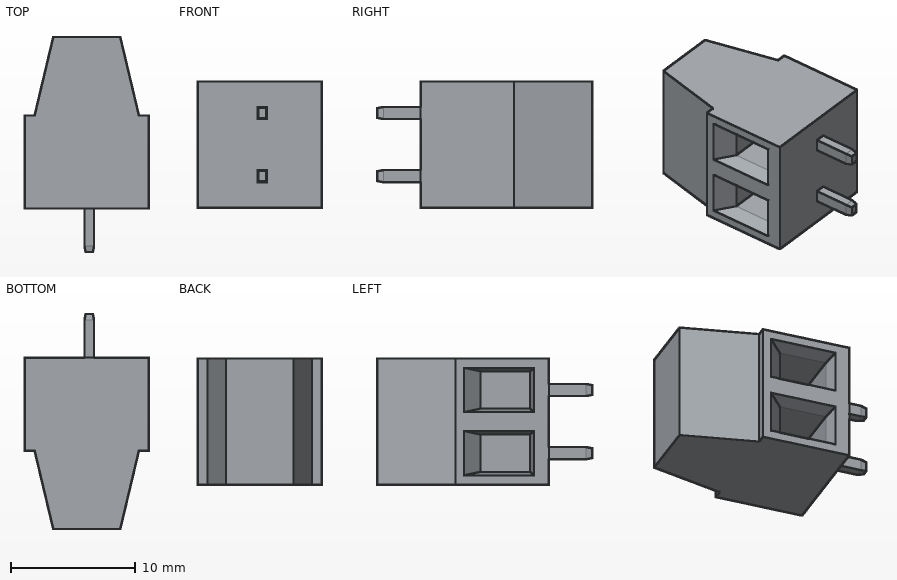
import cadquery as cq

pitch = 5.08
pole_count = 2
body_width = 10.0
body_height = pole_count * pitch
block_depth = 7.5
nose_depth = 6.3
nose_base_width = 8.4
nose_tip_width = 5.4

pin_offset = 0.2
pin_width = 0.8
pin_height = 1.0
pin_length = 3.5
tip_length = 0.5
tip_inset = 0.1

entry_depth = 5.0
entry_front_wall = 1.2
mouth_depth = 1.3
mouth_length = 5.6
mouth_height = 3.56
front_inset = 0.3
back_inset = 1.3
height_inset = 0.28

pole_heights = [(i - (pole_count - 1) / 2) * pitch for i in range(pole_count)]


def make_housing():
    """Block with a tapered nose, centred in X and Z, with its -Y face at Y = 0."""
    half_width = body_width / 2
    half_base = nose_base_width / 2
    half_tip = nose_tip_width / 2
    nose_end = block_depth + nose_depth
    outline = [
        (-half_width, 0),
        (half_width, 0),
        (half_width, block_depth),
        (half_base, block_depth),
        (half_tip, nose_end),
        (-half_tip, nose_end),
        (-half_base, block_depth),
        (-half_width, block_depth),
    ]
    profile = cq.Workplane("XY").workplane(offset=-body_height / 2).polyline(outline).close()
    return profile.extrude(body_height)


def make_wire_entry(z):
    """Cutter for one wire entry: a funnel mouth leading to a straight rectangular pocket."""
    pocket_length = mouth_length - front_inset - back_inset
    pocket_height = mouth_height - 2 * height_inset
    mouth_y = entry_front_wall + mouth_length / 2
    pocket_y = entry_front_wall + front_inset + pocket_length / 2
    mouth_plane = cq.Workplane("YZ", origin=(-body_width / 2, mouth_y, z))
    funnel = (
        mouth_plane.rect(mouth_length, mouth_height)
        .workplane(offset=mouth_depth)
        .center(pocket_y - mouth_y, 0)
        .rect(pocket_length, pocket_height)
        .loft(ruled=True)
    )
    pocket = (
        cq.Workplane("YZ", origin=(mouth_depth - body_width / 2, pocket_y, z))
        .rect(pocket_length, pocket_height)
        .extrude(entry_depth - mouth_depth)
    )
    return funnel.union(pocket)


def make_pin(z):
    """Rectangular pin pointing to -Y with a tapered tip."""
    shank_length = pin_length - tip_length
    shank = (
        cq.Workplane("XZ", origin=(pin_offset, 0, z))
        .rect(pin_width, pin_height)
        .extrude(shank_length)
    )
    tip = (
        cq.Workplane("XZ", origin=(pin_offset, -shank_length, z))
        .rect(pin_width, pin_height)
        .workplane(offset=tip_length)
        .rect(pin_width - 2 * tip_inset, pin_height - 2 * tip_inset)
        .loft(ruled=True)
    )
    return shank.union(tip)


result = make_housing()
for pole_z in pole_heights:
    result = result.cut(make_wire_entry(pole_z))
    result = result.union(make_pin(pole_z))